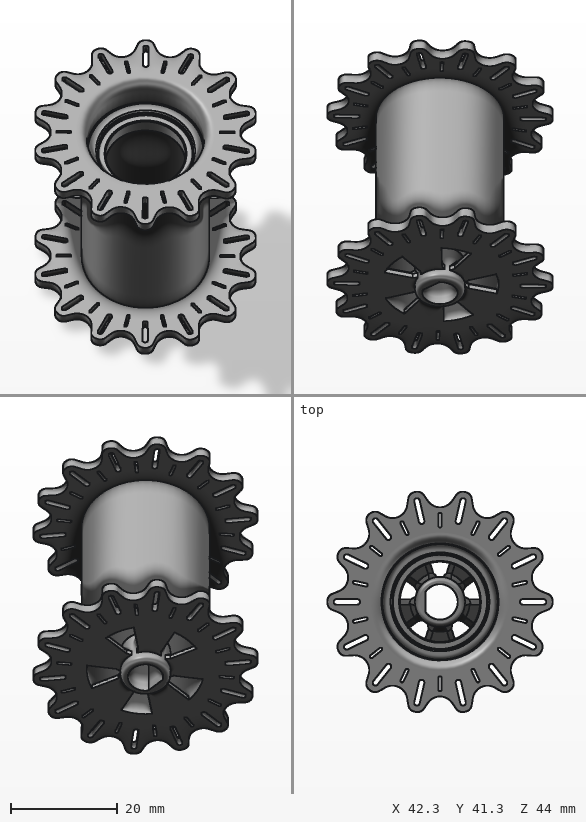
import cadquery as cq
import math

total_height = 44.0
nub_height = 2.0
flange_thickness = 2.0
flange_levels = (nub_height, total_height - flange_thickness)

tooth_count = 14
tooth_pitch = 360.0 / tooth_count
tip_radius = 21.14
tip_corner_radius = 1.5
tip_corner_angle = 0.36
valley_bottom_radius = 17.75
valley_radius = 2.75

tooth_slot = (15.0, 19.9, 1.0)
valley_slot = (13.95, 16.7, 0.55)

barrel_radius = 12.0
bore_radius = 11.0
mouth_fillet = 2.0
seat_depth = 6.0
recess_radius = 9.0
recess_depth = 7.0
lip_radius = 7.5
lip_bottom_depth = 10.0
corner_break = 0.2
recess_edge_break = 0.3

web_thickness = flange_thickness
web_top = nub_height + web_thickness
spoke_count = 5
spoke_pitch = 360.0 / spoke_count
first_window_angle = 90.0
window_side_offset = 0.5
web_bevel = 1.0
window_tip_radius = 4.15
window_end_slope = 0.75
hub_radius = 4.7
hub_height = 8.0
hub_fillet = 1.0
hub_base_chamfer = 0.9
shaft_radius = 3.3
shaft_flat_distance = 2.7


def polar(radius, degrees):
    """Point in the XY plane at a radius and an angle."""
    angle = math.radians(degrees)
    return (radius * math.cos(angle), radius * math.sin(angle))


def to_polar(point):
    """Radius and angle in degrees of a point in the XY plane."""
    return math.hypot(*point), math.degrees(math.atan2(point[1], point[0]))


def flank_ends():
    """Ends of the flank of a tooth on the X axis: on its tip corner and on the valley arc.

    The flank is the inner common tangent of these two arcs. Both ends are (radius, angle).
    """
    corner_x, corner_y = polar(tip_radius - tip_corner_radius, tip_corner_angle)
    valley_x, valley_y = polar(valley_bottom_radius + valley_radius, tooth_pitch / 2)
    distance, direction = to_polar((valley_x - corner_x, valley_y - corner_y))
    turn = math.degrees(math.acos((tip_corner_radius + valley_radius) / distance))
    normal_x, normal_y = polar(1.0, direction - turn)
    on_corner = (corner_x + tip_corner_radius * normal_x, corner_y + tip_corner_radius * normal_y)
    on_valley = (valley_x - valley_radius * normal_x, valley_y - valley_radius * normal_y)
    return to_polar(on_corner), to_polar(on_valley)


def corner_middle(corner_end):
    """Point halfway round the tip corner, between the tip arc and the flank."""
    corner_x, corner_y = polar(tip_radius - tip_corner_radius, tip_corner_angle)
    end_x, end_y = polar(*corner_end)
    end_direction = to_polar((end_x - corner_x, end_y - corner_y))[1]
    step_x, step_y = polar(tip_corner_radius, (tip_corner_angle + end_direction) / 2)
    return to_polar((corner_x + step_x, corner_y + step_y))


def radial_slot(inner_end, outer_end, width, angle):
    """Round-ended slot through a flange, running outwards at an angle."""
    return (
        cq.Workplane("XY")
        .center(*polar((inner_end + outer_end) / 2, angle))
        .slot2D(outer_end - inner_end, width, angle)
        .extrude(flange_thickness)
    )


def make_flange():
    """Toothed disc with a slot in each tooth and a thinner one behind each valley."""
    corner_end, valley_end = flank_ends()
    middle = corner_middle(corner_end)

    def at(radius_and_angle, axis, side):
        radius, angle = radius_and_angle
        return polar(radius, axis + side * angle)

    tip_end = (tip_radius, tip_corner_angle)
    outline = cq.Workplane("XY").moveTo(*at(valley_end, 0, -1))
    for tooth in range(tooth_count):
        axis = tooth * tooth_pitch
        outline = (
            outline.lineTo(*at(corner_end, axis, -1))
            .threePointArc(at(middle, axis, -1), at(tip_end, axis, -1))
            .threePointArc(polar(tip_radius, axis), at(tip_end, axis, 1))
            .threePointArc(at(middle, axis, 1), at(corner_end, axis, 1))
            .lineTo(*at(valley_end, axis, 1))
            .threePointArc(
                polar(valley_bottom_radius, axis + tooth_pitch / 2),
                at(valley_end, axis + tooth_pitch, -1),
            )
        )
    flange = outline.close().extrude(flange_thickness)
    for tooth in range(tooth_count):
        axis = tooth * tooth_pitch
        flange = flange.cut(radial_slot(*tooth_slot, axis))
        flange = flange.cut(radial_slot(*valley_slot, axis + tooth_pitch / 2))
    return flange


def revolve(profile):
    """Solid of revolution about Z from a closed profile drawn in the XZ plane."""
    return profile.close().revolve(360, (0, 0, 0), (0, 1, 0))


def make_cavity():
    """Hollow of the barrel: flared mouth, stepped seat, lip and the wide bore below it."""
    seat = total_height - seat_depth
    recess = total_height - recess_depth
    lip_bottom = total_height - lip_bottom_depth
    arc_drop = mouth_fillet * (1 - math.sqrt(0.5))
    return revolve(
        cq.Workplane("XZ")
        .moveTo(0, nub_height)
        .lineTo(bore_radius, nub_height)
        .lineTo(bore_radius, lip_bottom)
        .lineTo(lip_radius, lip_bottom)
        .lineTo(lip_radius, recess - corner_break)
        .lineTo(lip_radius + corner_break, recess)
        .lineTo(recess_radius - corner_break, recess)
        .lineTo(recess_radius, recess + corner_break)
        .lineTo(recess_radius, seat - recess_edge_break)
        .lineTo(recess_radius + recess_edge_break, seat)
        .lineTo(bore_radius - corner_break, seat)
        .lineTo(bore_radius, seat + corner_break)
        .lineTo(bore_radius, total_height - mouth_fillet)
        .threePointArc(
            (bore_radius + arc_drop, total_height - arc_drop),
            (bore_radius + mouth_fillet, total_height),
        )
        .lineTo(0, total_height)
    )


def window_section(rise):
    """Five-sided window outline, for a window on the X axis, at a rise above the bevel's lower edge.

    Two sides run along the spokes and two slanted ends close the window towards the hub.
    """
    half_angle = math.radians(spoke_pitch / 4)
    side_shift = (window_side_offset - rise) / math.cos(half_angle)
    tip = window_tip_radius - rise * window_end_slope * math.sqrt(2)
    corner_x = (tip - side_shift) / (1 - math.tan(half_angle))
    corner_y = corner_x - tip
    outer_y = bore_radius * math.tan(half_angle) - side_shift
    return (
        cq.Workplane("XY")
        .polyline(
            [
                (tip, 0),
                (corner_x, corner_y),
                (bore_radius, outer_y),
                (bore_radius, -outer_y),
                (corner_x, -corner_y),
            ]
        )
        .close()
    )


def make_window():
    """Window cutter: straight at the bottom, widening from the bevel up to the hub's base cone."""
    bevel_bottom = web_top - web_bevel
    rise = web_bevel + hub_base_chamfer
    straight = window_section(0).extrude(web_thickness - web_bevel).translate((0, 0, nub_height))
    lower = window_section(0).val().translate(cq.Vector(0, 0, bevel_bottom))
    upper = window_section(rise).val().translate(cq.Vector(0, 0, bevel_bottom + rise))
    return straight.union(cq.Workplane(cq.Solid.makeLoft([lower, upper], True)))


def make_web():
    """Web with a cone round the foot of the hub, cut through by the windows between the spokes."""
    web = revolve(
        cq.Workplane("XZ")
        .moveTo(0, nub_height)
        .lineTo(bore_radius, nub_height)
        .lineTo(bore_radius, web_top)
        .lineTo(hub_radius + hub_base_chamfer, web_top)
        .lineTo(hub_radius, web_top + hub_base_chamfer)
        .lineTo(0, web_top + hub_base_chamfer)
    )
    window = make_window()
    for index in range(spoke_count):
        angle = first_window_angle + index * spoke_pitch
        web = web.cut(window.rotate((0, 0, 0), (0, 0, 1), angle))
    return web


def make_hub():
    """Hub with rounded rims, its lower end standing out below the flange as the nub."""
    return cq.Workplane("XY").circle(hub_radius).extrude(hub_height).edges().fillet(hub_fillet)


def make_shaft_hole():
    """D-shaped through hole, its flat facing +X."""
    hole = cq.Workplane("XY").circle(shaft_radius).extrude(total_height)
    beyond_flat = (
        cq.Workplane("XY")
        .center(-shaft_flat_distance - shaft_radius, 0)
        .rect(2 * shaft_radius, 2 * shaft_radius)
        .extrude(total_height)
    )
    return hole.cut(beyond_flat)


def make_part():
    """Barrel with a flange at each end, hollowed, then closed by the web and the hub."""
    part = (
        cq.Workplane("XY", origin=(0, 0, nub_height))
        .circle(barrel_radius)
        .extrude(total_height - nub_height)
    )
    flange = make_flange()
    for level in flange_levels:
        part = part.union(flange.translate((0, 0, level)))
    part = part.cut(make_cavity())
    return part.union(make_web()).union(make_hub()).cut(make_shaft_hole())


result = make_part()